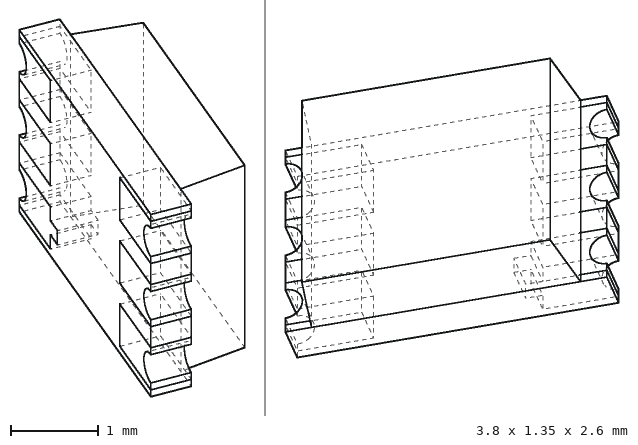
import cadquery as cq


length = 3.8
height = 2.6
total_depth = 1.35
board_thickness = 0.5
lens_base_length = 3.18
lens_top_length = 2.935
pad_length = 0.9
pad_height = 0.6
pad_pitch = 0.9
notch_radius = 0.2
mark_size = 0.2

edge_x = length / 2
pad_rows = [-pad_pitch, 0.0, pad_pitch]
mark_row_z = pad_rows[0]
LEFT, RIGHT = -1, 1


def block(x_size, y_size, z_size, x_center, z_center):
    """Box standing on the mounting face and reaching toward +Y."""
    return cq.Workplane("XY", origin=(x_center, 0, z_center)).box(
        x_size, y_size, z_size, centered=(True, False, True)
    )


def pad_blank(side, row_z):
    """Terminal outline through the board, with the tab on the first pad but no notch yet."""
    blank = block(pad_length, board_thickness, pad_height, side * (edge_x - pad_length / 2), row_z)
    if side == LEFT and row_z == mark_row_z:
        mark_reach = pad_length + mark_size
        mark = block(mark_reach, board_thickness, mark_size, -edge_x + mark_reach / 2, row_z)
        blank = blank.union(mark)
    return blank


def make_pad(side, row_z):
    """One terminal with a half-round notch at the board edge."""
    notch = (
        cq.Workplane("XZ", origin=(side * edge_x, 0, row_z))
        .circle(notch_radius)
        .extrude(-board_thickness)
    )
    return pad_blank(side, row_z).cut(notch)


def make_board(pad_places):
    """Rectangular board with a matching cutout for every terminal."""
    board = block(length, board_thickness, height, 0, 0)
    for side, row_z in pad_places:
        board = board.cut(pad_blank(side, row_z))
    return board


def make_lens():
    """Full-height lens whose two ends slope inward toward +Y."""
    return (
        cq.Workplane("XY", origin=(0, 0, -height / 2))
        .polyline([
            (-lens_base_length / 2, board_thickness),
            (lens_base_length / 2, board_thickness),
            (lens_top_length / 2, total_depth),
            (-lens_top_length / 2, total_depth),
        ])
        .close()
        .extrude(height)
    )


pad_places = [(side, row_z) for side in (LEFT, RIGHT) for row_z in pad_rows]

board = make_board(pad_places)
lens = make_lens()
pads = [make_pad(side, row_z) for side, row_z in pad_places]

result = cq.Compound.makeCompound([
    board.solids().val(),
    lens.val(),
    *[pad.solids().val() for pad in pads],
])